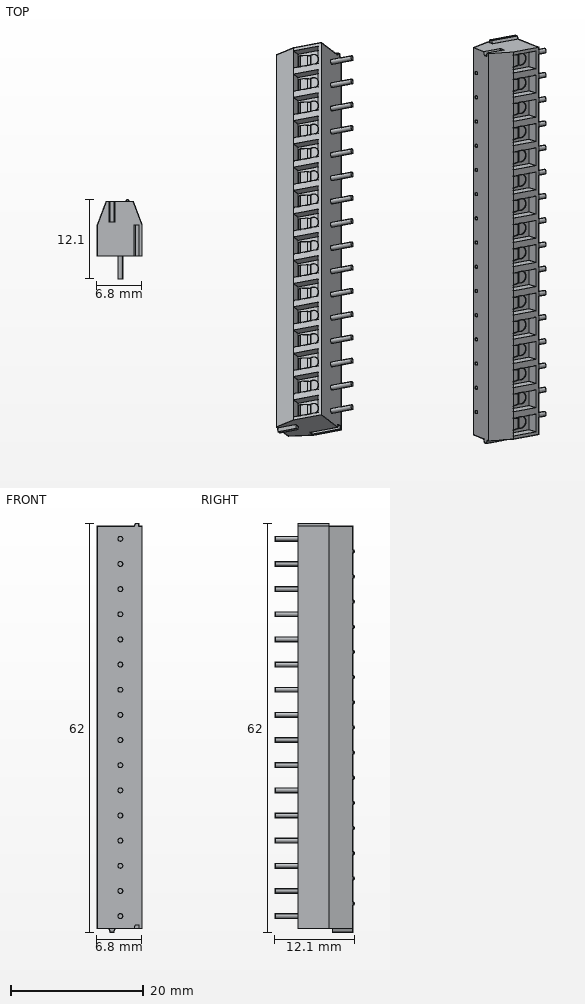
import cadquery as cq

pole_count = 16
body_height = 60.95
body_width = 6.8
body_depth = 8.3
shoulder_y = 4.7
ridge_width = 4.1

pin_diameter = 0.75
pin_length = 3.5
pin_x = 0.09

window_y = 0.55
window_height = 2.8
window_depth = 1.55
window_draft = 0.2

tab_back_y = 4.5
tab_crest_y = 4.15
ramp_top_y = 3.0
ramp_foot_y = 2.6
tab_back_height = 2.1
tab_end_height = 1.55
tab_height = 0.25

socket_radius = 0.9
socket_y = 2.2
socket_depth = 0.1

rail_x = 2.55
rail_width = 0.75
rail_height = 0.45
rail_lean = 0.2
rail_groove_depth = 0.55

tongue_x = -1.2
tongue_width = 0.9
tongue_tip_width = 0.55
tongue_height = 0.55
tongue_length = 3.1

nub_x = 1.2
nub_radius = 0.25

pole_pitch = body_height / pole_count
half_height = body_height / 2
side_x = -body_width / 2
floor_x = side_x + window_depth
pin_root = 0.3


def pole_z(index):
    """Height of a pole's centre, counted from the bottom."""
    return (index - (pole_count - 1) / 2) * pole_pitch


def prism_along_y(points, y_start, y_end):
    """Extrude an XZ outline from y_start to y_end."""
    sketch = cq.Workplane("XZ", origin=(0, y_start, 0)).polyline(points).close()
    return sketch.extrude(y_start - y_end)


def make_body():
    half_width = body_width / 2
    half_ridge = ridge_width / 2
    outline = [
        (-half_width, 0),
        (half_width, 0),
        (half_width, shoulder_y),
        (half_ridge, body_depth),
        (-half_ridge, body_depth),
        (-half_width, shoulder_y),
    ]
    return cq.Workplane("XY", origin=(0, 0, -half_height)).polyline(outline).close().extrude(body_height)


def make_window():
    """Wire window in the -X side with a leaning lower wall, centred on Z = 0."""
    outline = [
        (side_x, window_y),
        (floor_x, window_y + window_draft),
        (floor_x, shoulder_y),
        (side_x, shoulder_y),
    ]
    sketch = cq.Workplane("XY", origin=(0, 0, -window_height / 2)).polyline(outline).close()
    return sketch.extrude(window_height)


def make_tab():
    """Raised tab on the window floor, sloped at both ends and tapering towards the socket."""
    top_x = floor_x - tab_height
    profile = [
        (floor_x, tab_back_y),
        (top_x, tab_crest_y),
        (top_x, ramp_top_y),
        (floor_x, ramp_foot_y),
    ]
    half_back = tab_back_height / 2
    half_end = tab_end_height / 2
    plan = [
        (tab_back_y, half_back),
        (ramp_foot_y, half_end),
        (ramp_foot_y, -half_end),
        (tab_back_y, -half_back),
    ]
    profile_sketch = cq.Workplane("XY", origin=(0, 0, -half_back)).polyline(profile).close()
    plan_sketch = cq.Workplane("YZ", origin=(top_x, 0, 0)).polyline(plan).close()
    return profile_sketch.extrude(tab_back_height).intersect(plan_sketch.extrude(tab_height))


def make_socket():
    """Shallow round recess in the window floor, cut off straight at the foot of the ramp."""
    plane = cq.Workplane("YZ", origin=(floor_x, 0, 0))
    disc = plane.center(socket_y, 0).circle(socket_radius).extrude(socket_depth)
    size = 2 * socket_radius
    below_ramp = plane.center(ramp_foot_y - size / 2, 0).rect(size, size).extrude(socket_depth)
    return disc.intersect(below_ramp)


def make_pin():
    plane = cq.Workplane("XZ", origin=(pin_x, pin_root, 0))
    return plane.circle(pin_diameter / 2).extrude(pin_length + pin_root)


def make_nub():
    """Ball whose centre lies on the +Y face, so half of it stands proud."""
    return cq.Workplane("XY").sphere(nub_radius).translate((nub_x, body_depth, 0))


def rail_outline(base_z, height):
    """XZ outline of the rail, or of its mating groove, standing on base_z."""
    left = rail_x - rail_width / 2
    right = rail_x + rail_width / 2
    return [(left, base_z), (left + rail_lean, base_z + height), (right, base_z + height), (right, base_z)]


def tongue_outline(base_z):
    """XZ outline of the tongue, or of its mating slot, hanging from base_z."""
    half_base = tongue_width / 2
    half_tip = tongue_tip_width / 2
    return [
        (tongue_x - half_base, base_z),
        (tongue_x - half_tip, base_z - tongue_height),
        (tongue_x + half_tip, base_z - tongue_height),
        (tongue_x + half_base, base_z),
    ]


result = make_body()

entry = make_window().cut(make_tab()).union(make_socket())
pin = make_pin()
for index in range(pole_count):
    offset = (0, 0, pole_z(index))
    result = result.cut(entry.translate(offset))
    result = result.union(pin.translate(offset))

nub = make_nub()
for index in range(pole_count - 1):
    result = result.union(nub.translate((0, 0, pole_z(index) + pole_pitch / 2)))

tongue_y = body_depth - tongue_length
result = result.union(prism_along_y(rail_outline(half_height, rail_height), 0, shoulder_y))
result = result.cut(prism_along_y(rail_outline(-half_height, rail_groove_depth), 0, shoulder_y))
result = result.cut(prism_along_y(tongue_outline(half_height), tongue_y, body_depth))
result = result.union(prism_along_y(tongue_outline(-half_height), tongue_y, body_depth))